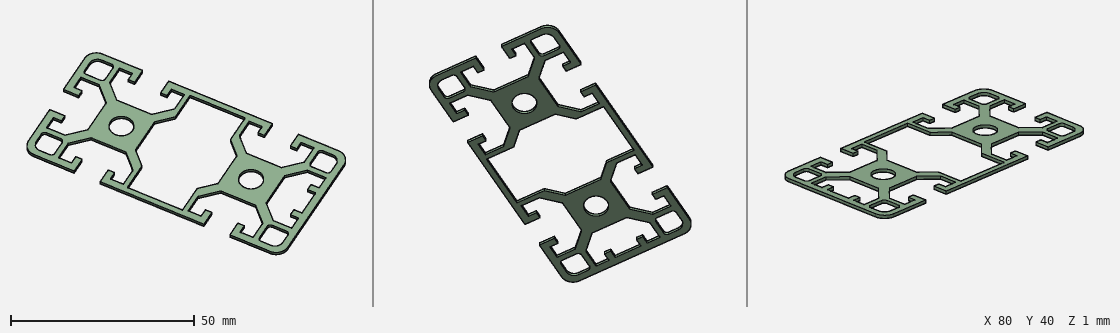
import cadquery as cq
import math

cell = 40.0
length = 2 * cell
width = cell
thickness = 1.0
half_cell = cell / 2
outer_radius = 3.6

bore_diameter = 6.8

slot_opening = 8.0
lip_width = 2.0
lip_depth = 4.7
slot_wall = 2.2
slot_half_width = 10.0
core_half_width = 7.5
rib_thickness = 3.0
slot_rib_offset = rib_thickness / math.sqrt(2)

chamber_wall = 1.7
chamber_half_width = 8.5
chamber_core_half_width = 12.7
chamber_rib_offset = 1.75

cavity_wall = 2.0
cavity_size = 6.4
cavity_outer_radius = 2.4
cavity_inner_radius = 1.0


def plate_blank():
    blank = cq.Workplane("XY").box(length, width, thickness, centered=(True, True, False))
    return blank.edges("|Z").fillet(outer_radius)


def slot_cutter(center_x, angle, is_open):
    """T-slot facing +Y before it is turned by angle and moved to its cell."""
    mouth = slot_opening / 2
    lip_back = mouth + lip_width
    roof = half_cell - slot_wall
    lip_end = half_cell - lip_depth
    slot_top = half_cell if is_open else roof
    right_half = [
        (core_half_width - slot_rib_offset, core_half_width),
        (slot_half_width, slot_half_width + slot_rib_offset),
        (slot_half_width, roof),
        (lip_back, roof),
        (lip_back, lip_end),
        (mouth, lip_end),
        (mouth, slot_top),
    ]
    left_half = [(-x, y) for x, y in reversed(right_half)]
    cutter = cq.Workplane("XY").polyline(right_half + left_half).close().extrude(thickness)
    return cutter.rotate((0, 0, 0), (0, 0, 1), angle).translate((center_x, 0, 0))


def chamber_cutter():
    """Hollow between the cells, widening in the middle up to the two cores."""
    end_y = width / 2 - chamber_wall
    shoulder_y = half_cell - chamber_half_width - chamber_rib_offset
    core_y = half_cell - chamber_core_half_width - chamber_rib_offset
    right_half = [
        (chamber_half_width, -end_y),
        (chamber_half_width, -shoulder_y),
        (chamber_core_half_width, -core_y),
        (chamber_core_half_width, core_y),
        (chamber_half_width, shoulder_y),
        (chamber_half_width, end_y),
    ]
    left_half = [(-x, -y) for x, y in right_half]
    return cq.Workplane("XY").polyline(right_half + left_half).close().extrude(thickness)


def cavity_cutter(side_x, side_y):
    """Rounded square hollow, with its largest radius toward the outer corner."""
    inset = cavity_wall + cavity_size / 2
    cavity = cq.Workplane("XY").rect(cavity_size, cavity_size).extrude(thickness)
    x_end = "<X" if side_x < 0 else ">X"
    y_end = "<Y" if side_y < 0 else ">Y"
    outer_corner = f"{x_end} and {y_end}"
    outer_edge = f"|Z and ({outer_corner})"
    inner_edges = f"|Z and (not ({outer_corner}))"
    cavity = cavity.edges(inner_edges).fillet(cavity_inner_radius)
    cavity = cavity.edges(outer_edge).fillet(cavity_outer_radius)
    return cavity.translate((side_x * (length / 2 - inset), side_y * (width / 2 - inset), 0))


result = plate_blank()

for center_x in (-half_cell, half_cell):
    bore = cq.Workplane("XY").center(center_x, 0).circle(bore_diameter / 2).extrude(thickness)
    result = result.cut(bore)
    for angle in (0, 180):
        result = result.cut(slot_cutter(center_x, angle, is_open=True))

result = result.cut(slot_cutter(-half_cell, 90, is_open=True))
result = result.cut(slot_cutter(half_cell, -90, is_open=False))

result = result.cut(chamber_cutter())

for side_x in (-1, 1):
    for side_y in (-1, 1):
        result = result.cut(cavity_cutter(side_x, side_y))